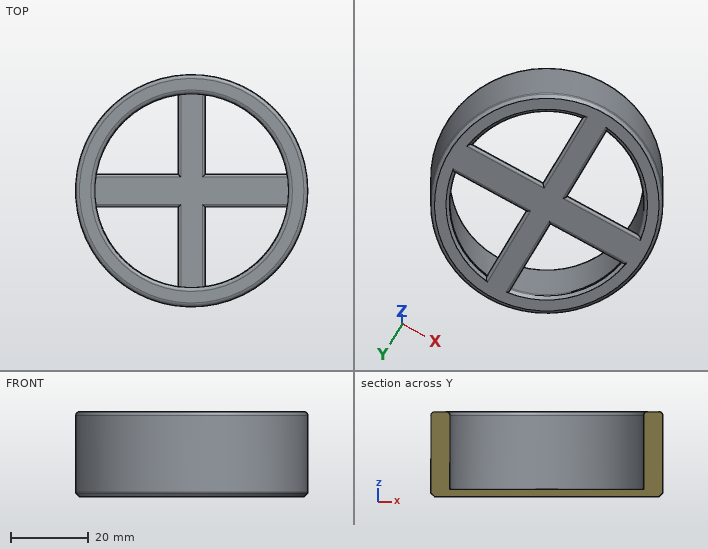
import cadquery as cq

outer_diameter = 60.0
bore_diameter = 50.0
ring_height = 22.0
top_rounding = 1.0
bottom_chamfer = 1.0
chamfer_blend = 0.6

x_bar_width = 8.5
y_bar_width = 7.0
cross_thickness = 2.0
cross_rounding = 0.7
wall_thickness = (outer_diameter - bore_diameter) / 2
bar_length = bore_diameter + wall_thickness


def make_ring():
    """Tube with rounded top rims and chamfered, softened bottom rims."""
    ring = (
        cq.Workplane("XY")
        .circle(outer_diameter / 2)
        .circle(bore_diameter / 2)
        .extrude(ring_height)
    )
    ring = ring.faces(">Z").edges().fillet(top_rounding)
    ring = ring.faces("<Z").edges().chamfer(bottom_chamfer)

    reach = outer_diameter
    band = 0.05
    chamfer_tops = cq.selectors.BoxSelector(
        (-reach, -reach, bottom_chamfer - band),
        (reach, reach, bottom_chamfer + band),
    )
    return ring.edges("%CIRCLE").edges(chamfer_tops).fillet(chamfer_blend)


def make_cross():
    """Two crossed bars with their upper and lower edges rounded."""
    x_bar = cq.Workplane("XY").rect(bar_length, x_bar_width).extrude(cross_thickness)
    y_bar = cq.Workplane("XY").rect(y_bar_width, bar_length).extrude(cross_thickness)
    cross = x_bar.union(y_bar).clean()
    return cross.faces("<Z or >Z").edges().fillet(cross_rounding)


result = make_ring().union(make_cross())